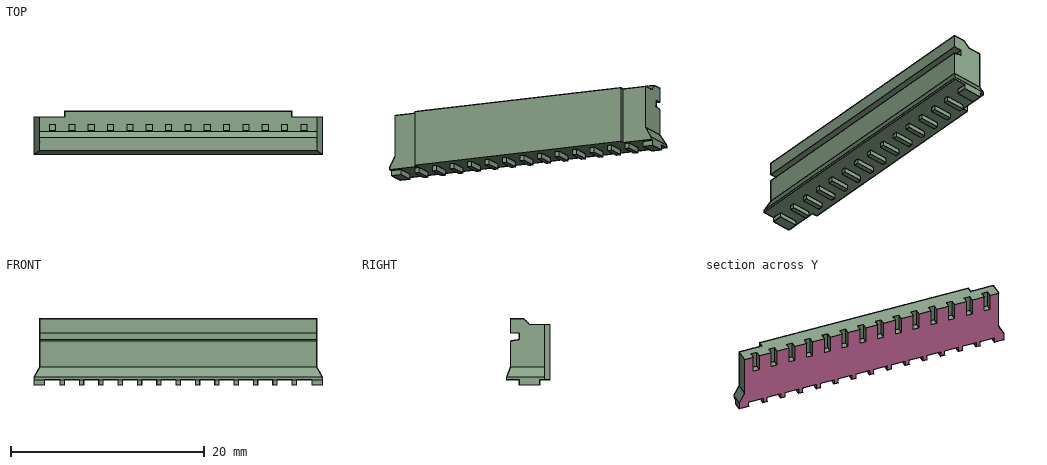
import cadquery as cq

length = 29.8
depth = 4.5
height = 6.85

tail_height = 0.55
housing_height = height - tail_height
lip_height = 0.27
flare_top = 1.35
step_height = 5.72

flare_depth = 0.42
pad_thickness = 0.6
back_face = depth - pad_thickness
ridge_width = 1.37
ridge_slope = housing_height - step_height

flare_end = 0.6
block_length = length - 2 * flare_end
pad_inset = 3.15
pad_length = length - 2 * pad_inset

groove_depth = 0.9
groove_top = 4.83
groove_inner_bottom = 4.17
groove_outer_bottom = 4.02

contact_count = 14
contact_pitch = 2.0
contact_size = 0.63
contact_depth = 1.8
contact_gap_to_ridge = 0.1

tail_width = 0.48
end_tail_width = 1.1
tail_depth = 2.15
tail_back_inset = 1.05


def box_between(x_center, x_size, y_min, y_max, z_min, z_max):
    """Box centred in X on x_center, between the given Y and Z limits."""
    box = cq.Workplane("XY").box(x_size, y_max - y_min, z_max - z_min, centered=(True, False, False))
    return box.translate((x_center, y_min, z_min))


def row_positions(count):
    """X centres of a row of features at the contact pitch, centred on X = 0."""
    return [(i - (count - 1) / 2) * contact_pitch for i in range(count)]


def make_block():
    """Main housing: a ridge over a grooved front face, with a lower step behind."""
    groove_back = flare_depth + groove_depth
    ridge_back = flare_depth + ridge_width
    profile = [
        (flare_depth, 0),
        (flare_depth, groove_outer_bottom),
        (groove_back, groove_inner_bottom),
        (groove_back, groove_top),
        (flare_depth, groove_top),
        (flare_depth, housing_height),
        (ridge_back, housing_height),
        (ridge_back + ridge_slope, step_height),
        (back_face, step_height),
        (back_face, 0),
    ]
    return cq.Workplane("YZ").polyline(profile).close().extrude(block_length / 2, both=True)


def make_flange():
    """Straight lip with a tapered flare that blends into the block on the front and ends."""
    lip = box_between(0, length, 0, back_face, 0, lip_height)
    flare = (
        cq.Workplane("XY", origin=(0, 0, lip_height))
        .center(0, back_face / 2)
        .rect(length, back_face)
        .workplane(offset=flare_top - lip_height)
        .center(0, flare_depth / 2)
        .rect(block_length, back_face - flare_depth)
        .loft(ruled=True)
    )
    return lip.union(flare)


def make_tails():
    """Row of narrow tails with a wide tail at each end."""
    y_max = depth - tail_back_inset
    y_min = y_max - tail_depth
    end_x = (length - end_tail_width) / 2
    tails = [(x, tail_width) for x in row_positions(contact_count - 1)]
    tails += [(-end_x, end_tail_width), (end_x, end_tail_width)]
    row = cq.Workplane("XY")
    for x, width in tails:
        row = row.add(box_between(x, width, y_min, y_max, -tail_height, lip_height))
    return row.combine()


def make_contact_openings():
    """Square blind pockets sunk into the step just behind the ridge."""
    y_min = flare_depth + ridge_width + ridge_slope + contact_gap_to_ridge
    y_max = y_min + contact_size
    openings = cq.Workplane("XY")
    for x in row_positions(contact_count):
        openings = openings.add(
            box_between(x, contact_size, y_min, y_max, step_height - contact_depth, step_height)
        )
    return openings.combine()


back_pad = box_between(0, pad_length, back_face, depth, 0, step_height)

result = (
    make_block()
    .union(make_flange())
    .union(back_pad)
    .union(make_tails())
    .cut(make_contact_openings())
)